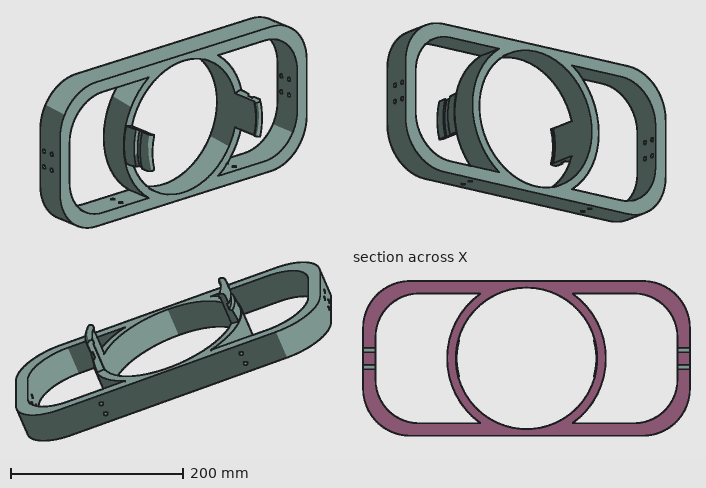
import cadquery as cq

length = 380.0
height = 180.0
depth = 35.5
wall = 15.0
outer_corner_radius = 55.0
inner_corner_radius = 50.0

ring_radius = 92.5
bore_radius = 82.0

total_depth = 75.5
lug_angle = 30.0
lug_root_radius = 91.2
lug_shoulder_radius = 89.5
groove_radius = 86.5
lug_head_radius = 89.0
bead_radius = 81.0
root_bend_x = depth + 8.5
root_bend_radius = 91.0
shoulder_end = depth + 15.5
groove_start = depth + 18.2
groove_end = depth + 25.5
bead_start = depth + 35.0
inner_tip_rounding = 3.0
outer_tip_rounding = lug_head_radius - bead_radius - inner_tip_rounding

hole_diameter = 4.5
end_hole_row_x = 7.0
hole_pitch_x = 13.5
end_hole_pitch_z = 19.8
bottom_hole_row_x = (depth - hole_pitch_x) / 2
bottom_hole_y = 87.5

cut_margin = 3.8


def rounded_block(size_y, size_z, radius):
    """Block of the frame's depth with rounded corners along X."""
    block = cq.Workplane("YZ").rect(size_y, size_z).extrude(depth)
    return block.edges("|X").fillet(radius)


def cylinder_x(radius):
    """Cylinder of the frame's depth along X, its seam turned to Z, clear of the lugs."""
    cylinder = cq.Workplane("YZ").circle(radius).extrude(depth)
    return cylinder.rotate((0, 0, 0), (1, 0, 0), 90)


def frame_with_ring():
    """Frame and ring joined, with the ring trimmed to the frame's outline."""
    outline = rounded_block(length, height, outer_corner_radius)
    window = rounded_block(
        length - 2 * wall, height - 2 * wall, inner_corner_radius
    )
    opening = window.cut(cylinder_x(ring_radius))
    return outline.cut(opening).cut(cylinder_x(bore_radius))


def snap_lug():
    """Lug at the +Y side: its profile turned about the X axis."""
    profile = (
        cq.Workplane("XY")
        .moveTo(depth, bore_radius)
        .lineTo(bead_start, bore_radius)
        .lineTo(bead_start, bead_radius)
        .lineTo(total_depth - inner_tip_rounding, bead_radius)
        .radiusArc((total_depth, bead_radius + inner_tip_rounding), -inner_tip_rounding)
        .radiusArc((total_depth - outer_tip_rounding, lug_head_radius), -outer_tip_rounding)
        .lineTo(groove_end, lug_head_radius)
        .lineTo(groove_end, groove_radius)
        .lineTo(groove_start, groove_radius)
        .lineTo(shoulder_end, lug_shoulder_radius)
        .threePointArc((root_bend_x, root_bend_radius), (depth, lug_root_radius))
        .close()
    )
    lug = profile.revolve(lug_angle, (0, 0, 0), (1, 0, 0))
    return lug.rotate((0, 0, 0), (1, 0, 0), -lug_angle / 2)


def end_holes():
    """Four holes through each end wall."""
    points = [
        (end_hole_row_x + i * hole_pitch_x, side * end_hole_pitch_z / 2)
        for i in range(2)
        for side in (-1, 1)
    ]
    holes = (
        cq.Workplane("XZ", origin=(0, length / 2 + cut_margin, 0))
        .pushPoints(points)
        .circle(hole_diameter / 2)
        .extrude(wall + 2 * cut_margin)
    )
    return holes.union(holes.mirror("XZ"))


def bottom_holes():
    """A pair of holes through the bottom wall on each side of the ring."""
    points = [
        (bottom_hole_row_x + i * hole_pitch_x, side * bottom_hole_y)
        for i in range(2)
        for side in (-1, 1)
    ]
    return (
        cq.Workplane("XY")
        .workplane(offset=-height / 2 - cut_margin)
        .pushPoints(points)
        .circle(hole_diameter / 2)
        .extrude(wall + 2 * cut_margin)
    )


lug = snap_lug()
result = (
    frame_with_ring()
    .union(lug)
    .union(lug.mirror("XZ"))
    .cut(end_holes())
    .cut(bottom_holes())
)